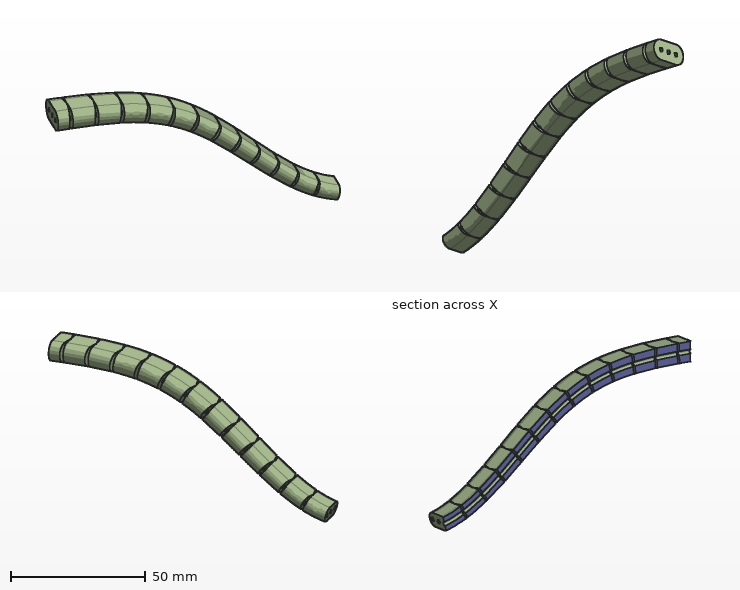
import math

import cadquery as cq

ROOT_WIDTH = 16.0
ROOT_HEIGHT = 8.0
TIP_SCALE = 0.75

TIP_Y = 110.0
TIP_Z = -50.0
ROOT_LEVEL_RUN = 44.5
BEND_Y = 60.6
BEND_Z = -3.75
TIP_RUN = 27.9
TIP_SLOPE_ANGLE = 14.5

JOINT_COUNT = 12
FIRST_JOINT = 5.8
JOINT_PITCH = 10.0
NOTCH_ANGLE = 10.0
WEB_THICKNESS = 0.4
NOTCH_REACH = ROOT_WIDTH
NOTCH_HEIGHT = 2 * ROOT_HEIGHT

HOLE_DIAMETER = 1.5
HOLE_PITCH = 4.0
HOLE_OFFSETS = (-HOLE_PITCH, 0.0, HOLE_PITCH)


def make_centre_line(x=0.0):
    """Centre line of the tail, shifted sideways by x."""
    tip_rise = TIP_RUN * math.tan(math.radians(TIP_SLOPE_ANGLE))
    control_points = [
        (x, 0, 0),
        (x, ROOT_LEVEL_RUN, 0),
        (x, BEND_Y, BEND_Z),
        (x, TIP_Y - TIP_RUN, TIP_Z + tip_rise),
        (x, TIP_Y, TIP_Z),
    ]
    return cq.Edge.makeBezier([cq.Vector(*point) for point in control_points])


def plane_along(line, distance):
    """Plane across the line at an arc length from the root: local x is +X, normal is forward."""
    fraction = distance / line.Length()
    return cq.Plane(
        origin=line.positionAt(fraction),
        xDir=(1, 0, 0),
        normal=line.tangentAt(fraction),
    )


def make_section(plane, scale):
    """Stadium outline of the tail, in the given plane."""
    return cq.Workplane(plane).slot2D(ROOT_WIDTH * scale, ROOT_HEIGHT * scale).wires().val()


def make_body(line):
    """Tapered solid swept along the centre line from the root section to the tip section."""
    root_section = make_section(plane_along(line, 0), 1.0)
    tip_section = make_section(plane_along(line, line.Length()), TIP_SCALE)
    path = cq.Wire.assembleEdges([line])
    return cq.Solid.sweep_multi([root_section, tip_section], path)


def make_hole(x):
    """Tendon hole following the centre line at sideways offset x."""
    line = make_centre_line(x)
    outline = cq.Workplane(plane_along(line, 0)).circle(HOLE_DIAMETER / 2).wires().val()
    return cq.Solid.sweep(outline, [], cq.Wire.assembleEdges([line]))


def make_notch(plane, side):
    """Wedge with a square-cut face on the tip side and a sloped face on the root side."""
    inner = side * WEB_THICKNESS / 2
    outer = side * NOTCH_REACH
    opening = (NOTCH_REACH - WEB_THICKNESS / 2) * math.tan(math.radians(NOTCH_ANGLE))
    wedge_plane = cq.Plane(origin=plane.origin, xDir=plane.xDir, normal=plane.xDir.cross(plane.zDir))
    wedge = cq.Workplane(wedge_plane).polyline([(inner, 0), (outer, 0), (outer, -opening)]).close()
    return wedge.extrude(NOTCH_HEIGHT / 2, both=True).val()


def make_all_notches(line):
    notches = []
    for joint in range(JOINT_COUNT):
        plane = plane_along(line, FIRST_JOINT + joint * JOINT_PITCH)
        for side in (-1, 1):
            notches.append(make_notch(plane, side))
    return notches


centre_line = make_centre_line()
body = make_body(centre_line)
holes = [make_hole(x) for x in HOLE_OFFSETS]
notches = make_all_notches(centre_line)
tail = body.cut(*holes).cut(*notches)
result = cq.Workplane("XY").newObject(tail.Solids())